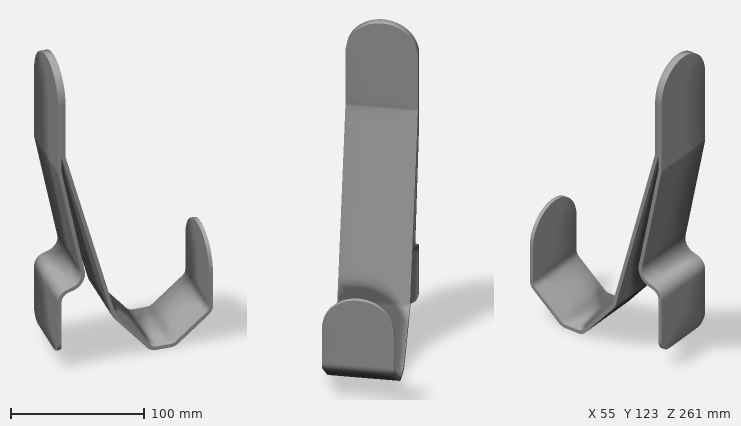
import cadquery as cq
import math

strip_width = 55.0
overall_depth = 123.0
overall_height = 261.0
stack_thickness = 6.0
strip_thickness = stack_thickness / 2
half_thickness = strip_thickness / 2
end_radius = strip_width / 2

brace_y = half_thickness
hook_back_y = strip_thickness + half_thickness
hook_tip_y = overall_depth - half_thickness

tip_height = 88.0
hook_back_corner = (hook_back_y, 186.4)
hook_slope_corner = (44.6, 37.0)
hook_floor_rear = (74.5, half_thickness)
hook_floor_front = (92.5, half_thickness)
hook_tip_corner = (hook_tip_y, 26.4)
hook_bend_radius = 7.8

brace_foot_height = 11.2
brace_back_corner = (brace_y, 173.0)
brace_knee = (22.0, 71.0)
brace_ankle = (brace_y, 64.7)
brace_back_radius = 7.8
brace_knee_radius = 12.0
brace_ankle_radius = 9.0
foot_corner_radius = 10.0


def direction(start, end):
    """Unit vector from one (Y, Z) point to another."""
    length = math.dist(start, end)
    return ((end[0] - start[0]) / length, (end[1] - start[1]) / length)


def shifted(point, vector, distance):
    return (point[0] + vector[0] * distance, point[1] + vector[1] * distance)


def strip_sides(start, bends, end):
    """Left and right faces of a bent strip.

    Each bend is (corner, centreline radius). A face is its first point, a list of
    (arc start, arc middle, arc end) bends, and its last point.
    """
    corners = [start] + [corner for corner, radius in bends] + [end]
    headings = [direction(a, b) for a, b in zip(corners, corners[1:])]
    sides = []
    for offset in (half_thickness, -half_thickness):
        arcs = []
        for (corner, radius), before, after in zip(bends, headings, headings[1:]):
            cross = before[0] * after[1] - before[1] * after[0]
            dot = before[0] * after[0] + before[1] * after[1]
            turn = math.atan2(cross, dot)
            setback = radius * math.tan(abs(turn) / 2)
            toward_center = direction((0, 0), (after[0] - before[0], after[1] - before[1]))
            center = shifted(corner, toward_center, radius / math.cos(turn / 2))
            face_radius = radius - offset * math.copysign(1, turn)
            arc_start = shifted(shifted(corner, before, -setback), (-before[1], before[0]), offset)
            arc_middle = shifted(center, toward_center, -face_radius)
            arc_end = shifted(shifted(corner, after, setback), (-after[1], after[0]), offset)
            arcs.append((arc_start, arc_middle, arc_end))
        first = shifted(start, (-headings[0][1], headings[0][0]), offset)
        last = shifted(end, (-headings[-1][1], headings[-1][0]), offset)
        sides.append((first, arcs, last))
    return sides


def bent_strip(start, bends, end):
    """Flat strip bent along a centreline, centred on X = 0."""
    left_side, right_side = strip_sides(start, bends, end)
    left_first, left_arcs, left_last = left_side
    right_first, right_arcs, right_last = right_side
    profile = cq.Workplane("YZ", origin=(-strip_width / 2, 0, 0)).moveTo(*left_first)
    for arc_start, arc_middle, arc_end in left_arcs:
        profile = profile.lineTo(*arc_start).threePointArc(arc_middle, arc_end)
    profile = profile.lineTo(*left_last).lineTo(*right_last)
    for arc_start, arc_middle, arc_end in reversed(right_arcs):
        profile = profile.lineTo(*arc_end).threePointArc(arc_middle, arc_start)
    return profile.lineTo(*right_first).close().extrude(strip_width)


def round_end(strip, center_y, end_z, radius, outward):
    """Round both corners of a vertical end; outward is 1 for an upper end, -1 for a lower one."""
    center_z = end_z - outward * radius
    for side in (-1, 1):
        center_x = side * (strip_width / 2 - radius)
        square = cq.Workplane("XY").box(radius, strip_thickness, radius)
        square = square.translate((center_x + side * radius / 2, center_y, center_z + outward * radius / 2))
        disc = cq.Workplane("XZ").cylinder(2 * strip_thickness, radius)
        disc = disc.translate((center_x, center_y, center_z))
        strip = strip.cut(square.cut(disc))
    return strip


def make_hook():
    corners = [hook_back_corner, hook_slope_corner, hook_floor_rear, hook_floor_front, hook_tip_corner]
    bends = [(corner, hook_bend_radius) for corner in corners]
    hook = bent_strip((hook_back_y, overall_height), bends, (hook_tip_y, tip_height))
    hook = round_end(hook, hook_back_y, overall_height, end_radius, 1)
    return round_end(hook, hook_tip_y, tip_height, end_radius, 1)


def make_brace():
    bends = [
        (brace_back_corner, brace_back_radius),
        (brace_knee, brace_knee_radius),
        (brace_ankle, brace_ankle_radius),
    ]
    brace = bent_strip((brace_y, overall_height), bends, (brace_y, brace_foot_height))
    brace = round_end(brace, brace_y, overall_height, end_radius, 1)
    return round_end(brace, brace_y, brace_foot_height, foot_corner_radius, -1)


hook = make_hook()
brace = make_brace()
result = cq.Compound.makeCompound([hook.solids().val(), brace.solids().val()])